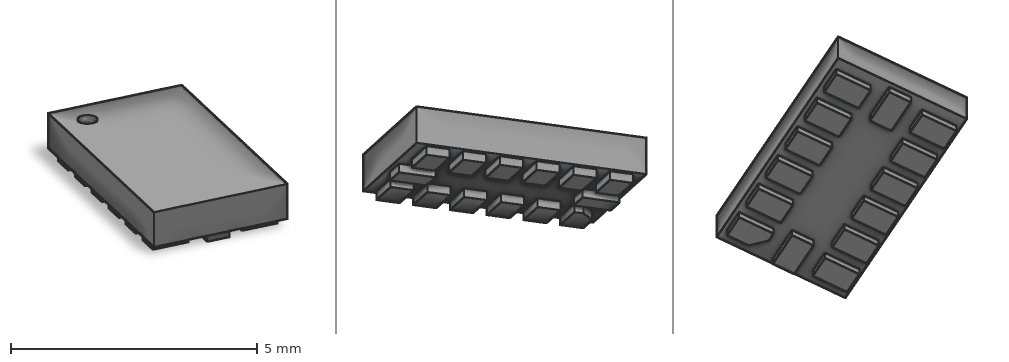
import cadquery as cq

body_length = 5.0
body_width = 3.0
total_height = 0.98
pad_height = 0.19
body_height = total_height - pad_height

pad_width = 0.5
pad_length = 0.8
pad_pitch = 0.8
pads_per_row = 6
edge_inset = 0.1
pin_one_chamfer = 0.3

dimple_inset = 0.6
dimple_radius = 0.2
dimple_depth = 0.1
dimple_floor_radius = dimple_radius - dimple_depth


def make_pad(size_x, size_y, x, y):
    """Rectangular pad standing on Z = 0 and reaching the underside of the body."""
    return cq.Workplane("XY").box(size_x, size_y, pad_height, centered=(True, True, False)).translate((x, y, 0))


def make_dimple():
    """Bowl with a flat floor and a quarter-round wall, placed at the pin-one corner."""
    wall_middle = dimple_depth * 0.5 ** 0.5
    profile = (
        cq.Workplane("XZ")
        .lineTo(dimple_radius, 0)
        .threePointArc(
            (dimple_floor_radius + wall_middle, -wall_middle),
            (dimple_floor_radius, -dimple_depth),
        )
        .lineTo(0, -dimple_depth)
        .close()
    )
    dimple_x = dimple_inset - body_length / 2
    dimple_y = dimple_inset - body_width / 2
    return profile.revolve(360, (0, 0), (0, 1)).translate((dimple_x, dimple_y, total_height))


body = (
    cq.Workplane("XY")
    .workplane(offset=pad_height)
    .box(body_length, body_width, body_height, centered=(True, True, False))
)
result = body.cut(make_dimple())

row_y = body_width / 2 - edge_inset - pad_length / 2
for side in (-1, 1):
    for index in range(pads_per_row):
        pad_x = (index - (pads_per_row - 1) / 2) * pad_pitch
        pad = make_pad(pad_width, pad_length, pad_x, side * row_y)
        if side == -1 and index == 0:
            pad = pad.edges("|Z and <X and >Y").chamfer(pin_one_chamfer)
        result = result.union(pad)

end_x = body_length / 2 - edge_inset - pad_length / 2
for side in (-1, 1):
    result = result.union(make_pad(pad_length, pad_width, side * end_x, 0))